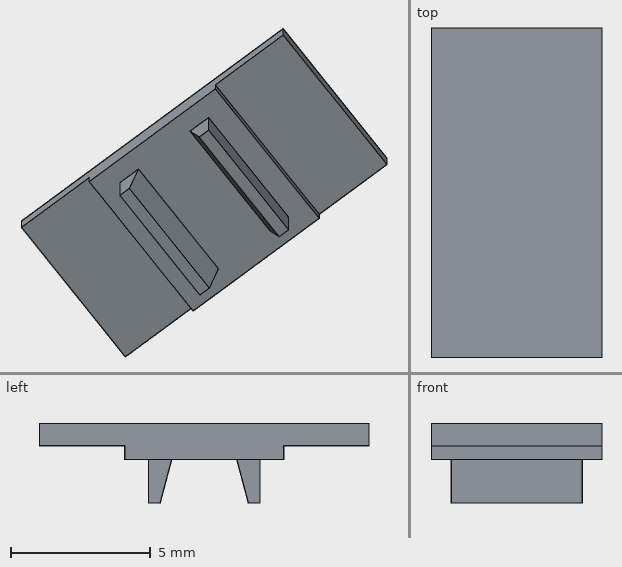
import cadquery as cq

plate_width = 6.1
plate_length = 11.8
plate_thickness = 0.8

pad_length = 5.69
pad_thickness = 0.5

overall_height = 2.85
leg_height = overall_height - plate_thickness - pad_thickness
leg_width = 4.7
leg_span = 4.0
leg_root = 0.84
leg_tip = 0.42

pad_bottom = leg_height
plate_bottom = pad_bottom + pad_thickness


def centred_slab(length, thickness, bottom):
    """Full-width slab centred on the Z axis."""
    slab = cq.Workplane("XY").box(plate_width, length, thickness, centered=(True, True, False))
    return slab.translate((0, 0, bottom))


def leg(side):
    """Leg with an upright outer face and a sloping inner face; side is +1 or -1 along Y."""
    outer = leg_span / 2
    profile = [
        (side * outer, 0),
        (side * outer, leg_height),
        (side * (outer - leg_root), leg_height),
        (side * (outer - leg_tip), 0),
    ]
    return cq.Workplane("YZ").polyline(profile).close().extrude(leg_width / 2, both=True)


result = centred_slab(plate_length, plate_thickness, plate_bottom)
result = result.union(centred_slab(pad_length, pad_thickness, pad_bottom))
for side in (-1, 1):
    result = result.union(leg(side))